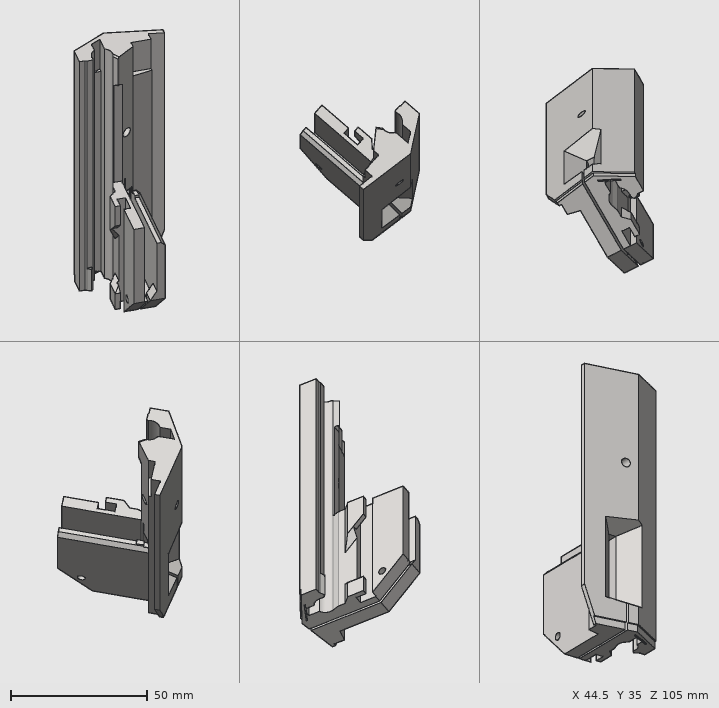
import cadquery as cq
import math

LENGTH_X = 44.5
DEPTH_Y = 35.0
LENGTH_Z = 105.0
FOOT_DROP = 0.3
BASE_Z = 0.0
TOP_Z = LENGTH_Z - FOOT_DROP
PLATE_TOP_Z = 46.9
REAR_PLATE_TOP_Z = 38.8
END_FEATURE_DEPTH = 13.4
END_FEATURE_Z = TOP_Z - END_FEATURE_DEPTH
MARGIN = 5.2

RIDGE_Y = 13.4
FRONT_X = 7.6
BACK_X = 4.1
FIN_THICKNESS = 2.0
FIN_ROOT = (5.0, 29.1)
JAW_X = 14.6
JAW_LIP_X = 14.9
JAW_LIP_Y = (2.7, 5.1)
JAW_LIP_START_Y = 2.2
TIP = (16.2, 14.3)
TIP_BACK = (15.9, 14.7)
SHOULDER = (11.0, 21.5)
SHOULDER_BACK_X = 9.6
NOTCH_X = 8.5

CHANNEL_X = 13.0
CHANNEL_Y = 9.1
CHANNEL_R = 4.0
THROAT_HALF = 1.9
THROAT_INNER_X = 3.4
THROAT_FRONT_X = 5.5
THROAT_FLOOR_X = 5.0
CHANNEL_END_X = 14.2

FRONT_PLATE_Y = (12.1, 16.2)
FRONT_PLATE_X = 16.9
REAR_PLATE_Y = (20.9, 24.2)
SLIT_Y = (17.4, 18.4)
SLIT_START_X = 13.5
BODY_JOINT_X = 12.6
PLATE_CORNER = 13.1

HOOK_ROOT_X = 19.8
HOOK_X = 22.5
HOOK_END_X = 29.1
HOOK_Y = 9.5
GROOVE_X = (24.9, 31.5)
HOOK_ARM_Y = 11.4
GROOVE_FLOOR_Y = 14.6

WINDOW_OUTER = ((9.2, 29.0), (10.2, 45.4))
WINDOW_INNER = ((SLIT_Y[0], 20.6), (14.8, 41.0))
WINDOW_THROAT_X = 8.7
WINDOW_STEP_X = 10.2

BASE_STEP_HEIGHT = 2.8
BASE_STEP_INSET = 0.6
REAR_CORNER = (30.0, 14.8)

BODY_HOLE = (18.5, 67.7, 3.5)
PLATE_HOLE = (35.6, 8.8, 2.9)

throat_x = CHANNEL_X - math.sqrt(CHANNEL_R**2 - THROAT_HALF**2)
channel_end_rise = math.sqrt(CHANNEL_R**2 - (CHANNEL_END_X - CHANNEL_X) ** 2)


def box(x, y, z):
    """Axis-aligned box from three (low, high) ranges."""
    size = [high - low for low, high in (x, y, z)]
    return cq.Workplane("XY").box(*size, centered=False).translate((x[0], y[0], z[0]))


def upright_prism(points, z_low, z_high):
    return cq.Workplane("XY").workplane(offset=z_low).polyline(points).close().extrude(z_high - z_low)


def cross_prism(points, y_low, y_high):
    """Prism along Y from an outline of (X, Z) points."""
    return cq.Workplane("XZ", origin=(0, y_low, 0)).polyline(points).close().extrude(y_low - y_high)


def side_prism(points, x_low, x_high):
    """Prism along X from an outline of (Y, Z) points."""
    return cq.Workplane("YZ", origin=(x_low, 0, 0)).polyline(points).close().extrude(x_high - x_low)


def taper(plane, origin, first, distance, second):
    """Solid with flat sides from one outline to another at a distance."""
    start = cq.Workplane(plane, origin=origin).polyline(first).close()
    return start.workplane(offset=distance).polyline(second).close().loft(ruled=True)


def grip_body():
    """Full-length section: angled skin, rear fin and the two channel jaws."""
    return (
        cq.Workplane("XY")
        .moveTo(0, RIDGE_Y)
        .lineTo(FRONT_X, 0)
        .lineTo(JAW_X, 0)
        .lineTo(JAW_X, JAW_LIP_START_Y)
        .lineTo(JAW_LIP_X, JAW_LIP_Y[0])
        .lineTo(JAW_LIP_X, JAW_LIP_Y[1])
        .lineTo(CHANNEL_END_X, CHANNEL_Y - channel_end_rise)
        .threePointArc((CHANNEL_X, CHANNEL_Y - CHANNEL_R), (throat_x, CHANNEL_Y - THROAT_HALF))
        .lineTo(THROAT_FRONT_X, CHANNEL_Y - THROAT_HALF)
        .lineTo(THROAT_INNER_X, CHANNEL_Y + THROAT_HALF)
        .lineTo(throat_x, CHANNEL_Y + THROAT_HALF)
        .threePointArc((CHANNEL_X, CHANNEL_Y + CHANNEL_R), (CHANNEL_END_X, CHANNEL_Y + channel_end_rise))
        .lineTo(*TIP)
        .lineTo(*TIP_BACK)
        .lineTo(*SHOULDER)
        .lineTo(SHOULDER_BACK_X, FIN_ROOT[1])
        .lineTo(*FIN_ROOT)
        .lineTo(BACK_X + FIN_THICKNESS, DEPTH_Y)
        .lineTo(BACK_X, DEPTH_Y)
        .close()
        .extrude(TOP_Z)
    )


def throat_ledge():
    """Squares off the deep corner of the throat below the top end."""
    overlap = 0.5
    ledge_y = (8.0, CHANNEL_Y + THROAT_HALF)
    outline = [
        (THROAT_INNER_X - overlap, ledge_y[1]),
        (THROAT_FLOOR_X, ledge_y[1]),
        (THROAT_FLOOR_X, ledge_y[0]),
        (THROAT_FLOOR_X - overlap, ledge_y[0]),
    ]
    return upright_prism(outline, BASE_Z, END_FEATURE_Z)


def tip_chamfer(body):
    """Bevels the top edge on the channel side of the rear jaw tip."""
    bevel = 0.6
    middle = ((CHANNEL_END_X + TIP[0]) / 2, (CHANNEL_Y + channel_end_rise + TIP[1]) / 2, TOP_Z)
    return body.edges(cq.NearestToPointSelector(middle)).chamfer(bevel)


def tip_relief():
    """Cuts the rear jaw tip back between the plates and the top end."""
    reach = JAW_X + MARGIN
    tip_z = END_FEATURE_Z + 0.6
    bevel_z = END_FEATURE_Z - 0.2
    outline = [
        (JAW_X, PLATE_TOP_Z),
        (reach, PLATE_TOP_Z),
        (reach, tip_z),
        (TIP[0] - 0.7, tip_z),
        (JAW_X, bevel_z),
    ]
    return cross_prism(outline, CHANNEL_Y, SHOULDER[1])


def shoulder_notch():
    return box((NOTCH_X, JAW_X), (SHOULDER[1], DEPTH_Y), (END_FEATURE_Z, TOP_Z + MARGIN))


def front_jaw_tooth():
    """Small tooth at the lower end of the front jaw, sloped on top."""
    low_y, high_y = JAW_LIP_Y
    point = (15.8, 4.3)
    height = 10.3
    bevel = 0.4
    outline = [(JAW_X, high_y), (JAW_LIP_X, high_y), point, (JAW_LIP_X, low_y), (JAW_X, low_y)]
    tooth = upright_prism(outline, BASE_Z, height)
    return tooth.faces(">Z").edges(">X").chamfer(bevel)


def front_plate():
    """Front plate section, carrying an L-shaped hook beside an open groove."""
    front, back = FRONT_PLATE_Y
    return upright_prism(
        [
            (CHANNEL_X, back),
            (CHANNEL_X, CHANNEL_Y + CHANNEL_R + 0.5),
            (CHANNEL_END_X, CHANNEL_Y + channel_end_rise),
            (FRONT_PLATE_X, front),
            (HOOK_ROOT_X, front),
            (HOOK_X, HOOK_Y),
            (HOOK_END_X, HOOK_Y),
            (HOOK_END_X, HOOK_ARM_Y),
            (GROOVE_X[0], HOOK_ARM_Y),
            (GROOVE_X[0], GROOVE_FLOOR_Y),
            (GROOVE_X[1], GROOVE_FLOOR_Y),
            (GROOVE_X[1], front),
            (LENGTH_X, front),
            (LENGTH_X, back),
        ],
        BASE_Z,
        PLATE_TOP_Z,
    )


def hook_gap():
    """Splits the hook into a bevelled lower block and an upper part with a slanted underside."""
    plate_y = FRONT_PLATE_Y[0]
    depth = plate_y - HOOK_Y
    root_low = 9.6
    tip_low = 7.1
    root_rise = 5.4
    tip_rise = 9.0

    def section(x, bottom, rise):
        return [(x[0], bottom), (x[1], bottom), (x[1], x[1] + rise), (x[0], x[0] + rise)]

    def gap(x, rise_at_plate):
        at_plate = section(x, root_low, rise_at_plate)
        at_face = section(x, tip_low, tip_rise)
        return taper("XZ", (0, plate_y, 0), at_plate, depth, at_face)

    neck_gap = gap((HOOK_ROOT_X - 1, GROOVE_X[0]), root_rise)
    arm_gap = gap((GROOVE_X[0], HOOK_END_X), tip_rise)

    bevel_start = (26.6, 9.0)
    clear_z = root_low + 1
    bevel = [bevel_start, (HOOK_END_X, tip_low), (HOOK_END_X, clear_z), (bevel_start[0], clear_z)]
    return neck_gap.union(arm_gap).union(cross_prism(bevel, HOOK_Y, plate_y))


def rear_plate():
    """Rear plate with a bevelled top edge, its root against the body and a small pad."""
    bevel = 1.6
    bevel_y = REAR_PLATE_Y[1] - bevel
    plate = box((10.4, LENGTH_X), REAR_PLATE_Y, (BASE_Z, REAR_PLATE_TOP_Z))
    plate = plate.faces(">Y").edges(">Z").chamfer(bevel)
    root = box((NOTCH_X, BODY_JOINT_X), (SLIT_Y[1], 22.8), (BASE_Z, REAR_PLATE_TOP_Z))
    pad = box((BODY_JOINT_X, 15.4), (REAR_PLATE_Y[0], bevel_y), (BASE_Z, REAR_PLATE_TOP_Z + 1))
    return plate.union(root).union(pad)


def pocket_floor():
    """Low walls that close the space between the plates at its lower end."""
    floor_z = 11.0
    gusset_x = 39.5
    gusset_top = 17.0
    rear_y = (SLIT_Y[1], REAR_PLATE_Y[0])
    front = box((CHANNEL_X, LENGTH_X), (FRONT_PLATE_Y[1], SLIT_Y[0]), (BASE_Z, PLATE_CORNER))
    rear = box((BODY_JOINT_X - 1, LENGTH_X), rear_y, (BASE_Z, floor_z))
    gusset = side_prism(
        [(rear_y[0], BASE_Z), (rear_y[1], BASE_Z), (rear_y[1], gusset_top), (rear_y[0], PLATE_CORNER)],
        gusset_x,
        LENGTH_X,
    )
    return front.union(rear).union(gusset)


def plate_corner():
    outline = [
        (LENGTH_X - PLATE_CORNER, BASE_Z),
        (LENGTH_X, BASE_Z + PLATE_CORNER),
        (LENGTH_X, BASE_Z),
    ]
    return cross_prism(outline, 0, DEPTH_Y)


def window():
    """Funnel through the skin that narrows to a passage, slightly wider behind."""

    def corners(y, z):
        return [(y[0], z[0]), (y[1], z[0]), (y[1], z[1]), (y[0], z[1])]

    funnel = taper("YZ", (0, 0, 0), corners(*WINDOW_OUTER), WINDOW_THROAT_X, corners(*WINDOW_INNER))
    neck = box((WINDOW_THROAT_X, WINDOW_STEP_X), *WINDOW_INNER)
    passage_y = (SLIT_Y[0], REAR_PLATE_Y[0])
    passage = box((WINDOW_STEP_X, JAW_X + MARGIN), passage_y, WINDOW_INNER[1])
    return funnel.union(neck).union(passage)


def slit():
    """Narrow gap between the plates, cut through the skin below the window."""
    low = BASE_Z - MARGIN
    through_skin = box((-MARGIN, LENGTH_X), SLIT_Y, (low, WINDOW_INNER[1][0] + 1))
    between_plates = box((SLIT_START_X, LENGTH_X), SLIT_Y, (low, PLATE_TOP_Z))
    return through_skin.union(between_plates)


def base_step():
    """Sets the skin back slightly around the bottom edge."""
    outline = [
        (-MARGIN, 0),
        (FRONT_X + BASE_STEP_INSET, 0),
        (BASE_STEP_INSET, RIDGE_Y),
        (BACK_X + BASE_STEP_INSET, DEPTH_Y),
        (-MARGIN, DEPTH_Y),
    ]
    return upright_prism(outline, BASE_Z, BASE_STEP_HEIGHT)


def rear_corner():
    """Slopes the lower end of the rear fin."""
    low_y, high_z = REAR_CORNER
    return side_prism([(low_y, BASE_Z), (DEPTH_Y, high_z), (DEPTH_Y, BASE_Z)], -MARGIN, LENGTH_X)


def foot_strip():
    """Thin strip under the base that follows the front skin."""
    overlap = 0.5
    outline = [(2.8, 12.8), (3.4, 12.8), (6.9, 5.2), (6.4, 5.2)]
    return upright_prism(outline, BASE_Z - FOOT_DROP, BASE_Z + overlap)


def body_hole():
    y, z, diameter = BODY_HOLE
    return cq.Workplane("YZ", origin=(0, y, z)).circle(diameter / 2).extrude(LENGTH_X)


def plate_hole():
    x, z, diameter = PLATE_HOLE
    return cq.Workplane("XZ", origin=(x, 0, z)).circle(diameter / 2).extrude(-DEPTH_Y)


body = tip_chamfer(grip_body()).union(throat_ledge()).union(front_jaw_tooth())
body = body.cut(tip_relief()).cut(shoulder_notch())

plates = front_plate().cut(hook_gap()).union(rear_plate()).union(pocket_floor()).cut(plate_corner())

result = body.union(plates)
result = result.cut(window()).cut(slit()).cut(base_step()).cut(rear_corner())
result = result.union(foot_strip())
result = result.cut(body_hole()).cut(plate_hole())